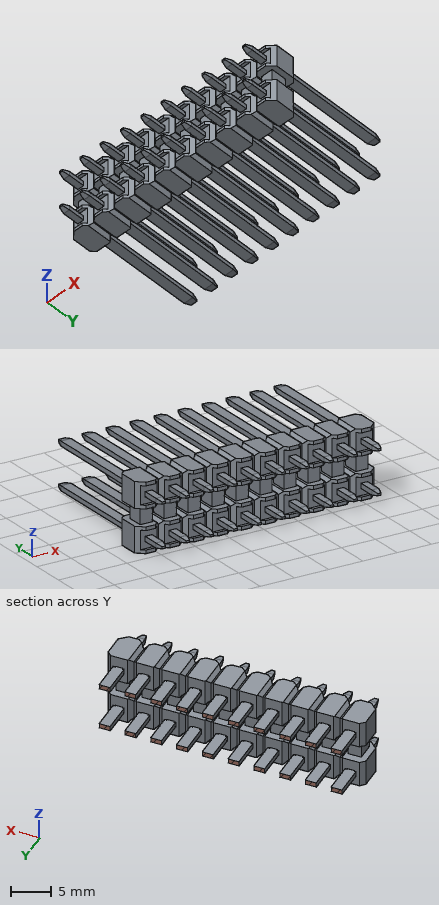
import cadquery as cq

column_count = 10
column_pitch = 3.5
row_pitch = 6.0
row_heights = (-row_pitch / 2, row_pitch / 2)

cell_height = 3.6
cell_depth = 4.5
rear_chamfer = 0.6
front_chamfer_x = 1.05
front_chamfer_y = 0.95
long_edge_chamfer = 0.5
recess_wall = 0.5
recess_depth = 0.45

post_width = 1.8
post_depth = 2.4
post_rear_gap = 1.1

pin_thickness = 0.7
pin_tip_thickness = 0.3
tip_length = 1.0
rear_pin_width = 1.5
rear_pin_tip_width = 1.0
rear_pin_length = 16.07
shoulder_gap = 0.1
front_pin_width = 1.0
front_pin_tip_width = 0.5
front_pin_length = 3.07

cell_rear = cell_depth
half_pitch = column_pitch / 2
half_height = cell_height / 2


def cell_plan():
    """Prism of the cell's plan outline: large front chamfers, small rear ones."""
    outline = [
        (half_pitch - front_chamfer_x, 0),
        (half_pitch, front_chamfer_y),
        (half_pitch, cell_rear - rear_chamfer),
        (half_pitch - rear_chamfer, cell_rear),
        (rear_chamfer - half_pitch, cell_rear),
        (-half_pitch, cell_rear - rear_chamfer),
        (-half_pitch, front_chamfer_y),
        (front_chamfer_x - half_pitch, 0),
    ]
    return (
        cq.Workplane("XY", origin=(0, 0, -half_height))
        .polyline(outline)
        .close()
        .extrude(cell_height)
    )


def cell_section(left_chamfered, right_chamfered):
    """Prism of the cell's section, chamfered along the edges that face a neighbour."""
    section = cq.Workplane("XY").box(column_pitch, cell_depth, cell_height)
    if left_chamfered:
        section = section.edges("|Y and <X").chamfer(long_edge_chamfer)
    if right_chamfered:
        section = section.edges("|Y and >X").chamfer(long_edge_chamfer)
    return section.translate((0, cell_depth / 2, 0))


def housing_cell(column):
    """One housing cell with the recess around the pin in its front face."""
    section = cell_section(column > 0, column < column_count - 1)
    recess_width = column_pitch - 2 * recess_wall
    recess_height = cell_height - 2 * recess_wall
    recess = cq.Workplane("XY").box(recess_width, 2 * recess_depth, recess_height)
    return cell_plan().intersect(section).cut(recess)


def pin_half(width, tip_width, start, end):
    """Flat pin along Y from start to end, with a tapered tip at the end."""
    direction = 1 if end > start else -1
    taper_start = end - direction * tip_length
    shank = (
        cq.Workplane("XZ", origin=(0, start, 0))
        .rect(width, pin_thickness)
        .extrude(start - taper_start)
    )
    tip = (
        cq.Workplane("XZ", origin=(0, taper_start, 0))
        .rect(width, pin_thickness)
        .workplane(offset=taper_start - end)
        .rect(tip_width, pin_tip_thickness)
        .loft(ruled=True)
    )
    return shank.union(tip)


def pin():
    """Complete pin: the narrow tail runs through the cell to the wide contact's shoulder."""
    shoulder = cell_rear + shoulder_gap
    rear = pin_half(rear_pin_width, rear_pin_tip_width, shoulder, cell_rear + rear_pin_length)
    front = pin_half(front_pin_width, front_pin_tip_width, shoulder, -front_pin_length)
    return rear.union(front)


def post():
    """Post joining the cells of one column, filling the gap between the rows."""
    post_y = cell_rear - post_rear_gap - post_depth / 2
    row_gap = row_pitch - cell_height
    return cq.Workplane("XY").box(post_width, post_depth, row_gap).translate((0, post_y, 0))


def column_body(column):
    """Two cells with their pins, joined by a post."""
    cell = housing_cell(column).union(pin())
    body = post()
    for height in row_heights:
        body = body.union(cell.translate((0, 0, height)))
    column_x = (column - (column_count - 1) / 2) * column_pitch
    return body.translate((column_x, 0, 0))


result = column_body(0)
for column_index in range(1, column_count):
    result = result.union(column_body(column_index))